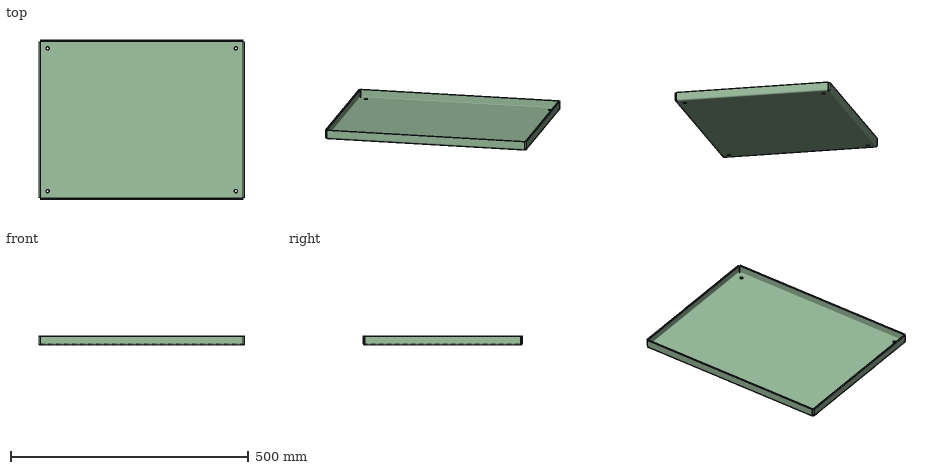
import cadquery as cq

length = 433.5
width = 335.0
height = 19.0

thickness = 3.0
inner_bend_radius = 1.0
outer_bend_radius = inner_bend_radius + thickness

corner_gap = 3.5

hole_diameter = 6.5
hole_spacing_x = 396.5
hole_spacing_y = 300.8


def flange(run):
    """Upturned flange with its bend, from the bend line at X = 0 outwards, centred along Y."""
    return (
        cq.Workplane("XZ")
        .moveTo(0, 0)
        .radiusArc((outer_bend_radius, outer_bend_radius), -outer_bend_radius)
        .lineTo(outer_bend_radius, height)
        .lineTo(inner_bend_radius, height)
        .lineTo(inner_bend_radius, outer_bend_radius)
        .radiusArc((0, thickness), inner_bend_radius)
        .close()
        .extrude(run / 2, both=True)
    )


floor_length = length - 2 * outer_bend_radius
floor_width = width - 2 * outer_bend_radius
tray = cq.Workplane("XY").box(floor_length, floor_width, thickness, centered=(True, True, False))

side_flange = flange(width - 2 * corner_gap).translate((floor_length / 2, 0, 0))
end_flange = flange(length - 2 * corner_gap).translate((floor_width / 2, 0, 0))
for placed_flange, angle in ((side_flange, 0), (end_flange, 90), (side_flange, 180), (end_flange, 270)):
    tray = tray.union(placed_flange.rotate((0, 0, 0), (0, 0, 1), angle))

holes = (
    cq.Workplane("XY")
    .rect(hole_spacing_x, hole_spacing_y, forConstruction=True)
    .vertices()
    .circle(hole_diameter / 2)
    .extrude(thickness)
)

result = tray.cut(holes)